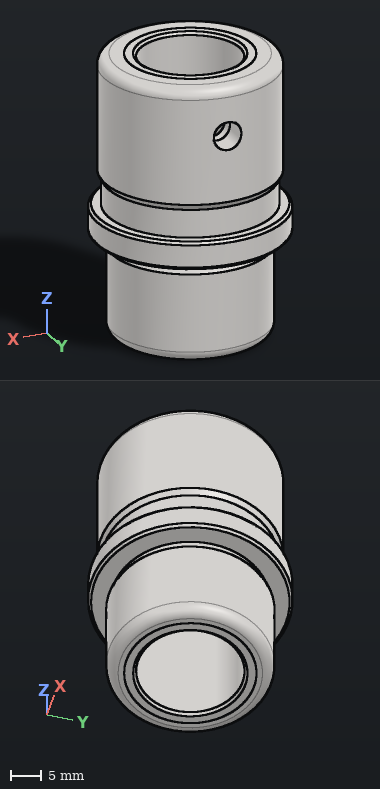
import cadquery as cq

length = 50.0
flange_bottom = 18.0
flange_top = 23.0
neck_top = 28.0
neck_taper_top = 29.15

head_diameter = 31.0
neck_diameter = 29.7
flange_diameter = 34.0
shank_diameter = 28.0
sleeve_diameter = 22.0
bore_diameter = 18.0

end_fillet = 2.0
flange_chamfer = 0.5
bore_chamfer = 0.5

relief_height = 2.0
relief_inset = 0.7
relief_hollow = 0.2

cross_hole_diameter = 5.0
cross_hole_z = 41.0


def cross_hole():
    """Radial cylinder from the axis out through the +Y wall."""
    return cq.Workplane(
        cq.Solid.makeCylinder(
            cross_hole_diameter / 2,
            flange_diameter / 2,
            cq.Vector(0, 0, cross_hole_z),
            cq.Vector(0, 1, 0),
        )
    )


def make_housing():
    """Flanged outer housing, revolved about Z, with a plain seat for the sleeve."""
    seat_radius = sleeve_diameter / 2
    shank_radius = shank_diameter / 2
    flange_radius = flange_diameter / 2
    neck_radius = neck_diameter / 2
    head_radius = head_diameter / 2
    relief_radius = shank_radius - relief_inset
    relief_bottom = flange_bottom - relief_height
    relief_middle = (
        (shank_radius + relief_radius) / 2 - relief_hollow,
        flange_bottom - relief_height / 2,
    )

    profile = (
        cq.Workplane("XZ")
        .moveTo(seat_radius, 0)
        .lineTo(shank_radius - end_fillet, 0)
        .radiusArc((shank_radius, end_fillet), -end_fillet)
        .lineTo(shank_radius, relief_bottom)
        .threePointArc(relief_middle, (relief_radius, flange_bottom))
        .lineTo(flange_radius - flange_chamfer, flange_bottom)
        .lineTo(flange_radius, flange_bottom + flange_chamfer)
        .lineTo(flange_radius, flange_top - flange_chamfer)
        .lineTo(flange_radius - flange_chamfer, flange_top)
        .lineTo(neck_radius, flange_top)
        .lineTo(neck_radius, neck_top)
        .lineTo(head_radius, neck_taper_top)
        .lineTo(head_radius, length - end_fillet)
        .radiusArc((head_radius - end_fillet, length), -end_fillet)
        .lineTo(seat_radius, length)
        .close()
    )
    body = profile.revolve(360, (0, 0, 0), (0, 1, 0))
    return body.cut(cross_hole())


def make_sleeve():
    """Inner bearing sleeve, flush with both ends and chamfered at the bore."""
    body = (
        cq.Workplane("XY")
        .circle(sleeve_diameter / 2)
        .circle(bore_diameter / 2)
        .extrude(length)
    )
    bore_edges = cq.selectors.RadiusNthSelector(0)
    body = body.edges("%CIRCLE").edges(bore_edges).chamfer(bore_chamfer)
    return body.cut(cross_hole())


housing = make_housing()
sleeve = make_sleeve()

result = cq.Compound.makeCompound([housing.val(), sleeve.val()])